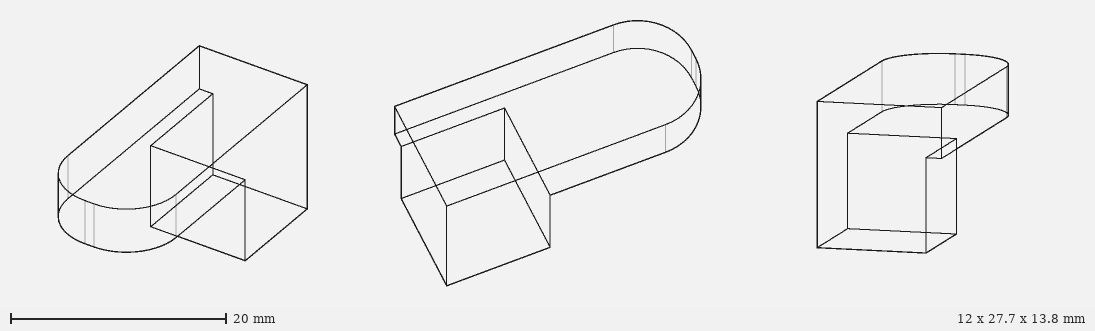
import cadquery as cq

plate_width = 12.0
plate_length = 27.72
plate_thickness = 4.8
corner_radius = 5.5

block_side = 10.5
block_height = 9.0


def make_plate():
    """Bar centred on X, with its rounded end toward -Y and its underside at Z = 0."""
    plate = cq.Workplane("XY").box(
        plate_width, plate_length, plate_thickness, centered=(True, True, False)
    )
    return plate.edges("|Z and <Y").fillet(corner_radius)


def make_block():
    """Square block hanging below the plate."""
    block_x = (plate_width - block_side) / 2
    block_y = (plate_length - block_side) / 2
    return (
        cq.Workplane("XY")
        .center(block_x, block_y)
        .rect(block_side, block_side)
        .extrude(-block_height)
    )


result = make_plate().union(make_block())